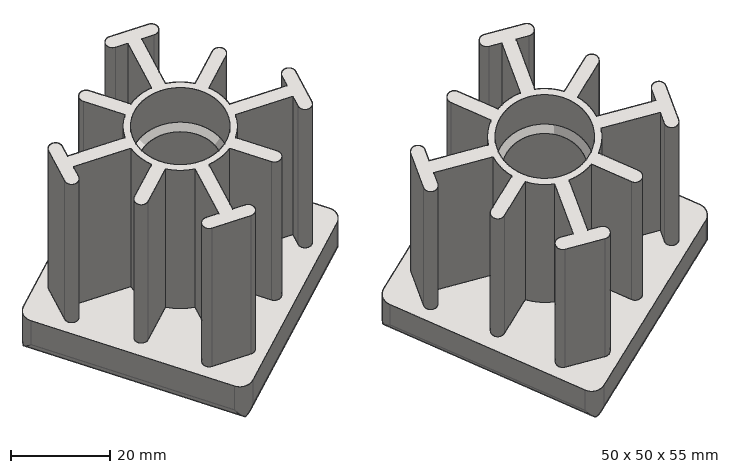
import cadquery as cq

TOTAL_HEIGHT = 55.0
BASE_SIDE = 50.0
BASE_HEIGHT = 11.0
INSERT_HEIGHT = TOTAL_HEIGHT - BASE_HEIGHT

CORNER_RADIUS = 2.85
BOTTOM_EDGE_RADIUS = 3.4

TUBE_DIAMETER = 23.0
BORE_DIAMETER = 20.0
HOLE_DIAMETER = 17.25
BORE_DEPTH = 11.0
CONE_HEIGHT = (BORE_DIAMETER - HOLE_DIAMETER) / 2

RIB_THICKNESS = 3.0
STRAIGHT_RIB_REACH = 22.0
CROSSBAR_LENGTH = 11.5
CROSSBAR_DISTANCE = 25.4
RIB_COUNT = 4
RIB_ANGLE_STEP = 360 / RIB_COUNT


def base_profile(plane, edge_direction):
    """Square-sided prism with both lower edges rounded along one direction."""
    return (
        cq.Workplane(plane)
        .center(0, BASE_HEIGHT / 2)
        .rect(BASE_SIDE, BASE_HEIGHT)
        .extrude(BASE_SIDE / 2, both=True)
        .faces("<Z")
        .edges(edge_direction)
        .fillet(BOTTOM_EDGE_RADIUS)
    )


def make_base():
    """Base with rounded corners and bottom roundings that meet in mitres."""
    rounded_square = (
        cq.Workplane("XY")
        .rect(BASE_SIDE, BASE_SIDE)
        .extrude(BASE_HEIGHT)
        .edges("|Z")
        .fillet(CORNER_RADIUS)
    )
    along_x = base_profile("YZ", "|X")
    along_y = base_profile("XZ", "|Y")
    return rounded_square.intersect(along_x).intersect(along_y)


def insert_plane():
    return cq.Workplane("XY").workplane(offset=BASE_HEIGHT)


def make_straight_rib():
    """Rib along +X with a round tip, starting at the axis."""
    length = STRAIGHT_RIB_REACH + RIB_THICKNESS / 2
    middle = STRAIGHT_RIB_REACH - length / 2
    return insert_plane().center(middle, 0).slot2D(length, RIB_THICKNESS).extrude(INSERT_HEIGHT)


def make_t_rib():
    """Rib along +X that ends in a round-ended crossbar."""
    web = (
        insert_plane()
        .center(CROSSBAR_DISTANCE / 2, 0)
        .rect(CROSSBAR_DISTANCE, RIB_THICKNESS)
        .extrude(INSERT_HEIGHT)
    )
    crossbar = (
        insert_plane()
        .center(CROSSBAR_DISTANCE, 0)
        .slot2D(CROSSBAR_LENGTH, RIB_THICKNESS, 90)
        .extrude(INSERT_HEIGHT)
    )
    return web.union(crossbar)


def make_bore():
    """Revolved cutter for the stepped hole on the part's axis."""
    hole_radius = HOLE_DIAMETER / 2
    bore_radius = BORE_DIAMETER / 2
    cone_top = TOTAL_HEIGHT - BORE_DEPTH
    return (
        cq.Workplane("XZ")
        .moveTo(0, 0)
        .lineTo(hole_radius, 0)
        .lineTo(hole_radius, cone_top - CONE_HEIGHT)
        .lineTo(bore_radius, cone_top)
        .lineTo(bore_radius, TOTAL_HEIGHT)
        .lineTo(0, TOTAL_HEIGHT)
        .close()
        .revolve(360, (0, 0), (0, 1))
    )


tube = insert_plane().circle(TUBE_DIAMETER / 2).extrude(INSERT_HEIGHT)
body = make_base().union(tube)

for index in range(RIB_COUNT):
    angle = index * RIB_ANGLE_STEP
    straight_rib = make_straight_rib().rotate((0, 0, 0), (0, 0, 1), angle)
    t_rib = make_t_rib().rotate((0, 0, 0), (0, 0, 1), angle + RIB_ANGLE_STEP / 2)
    body = body.union(straight_rib).union(t_rib)

result = body.cut(make_bore())